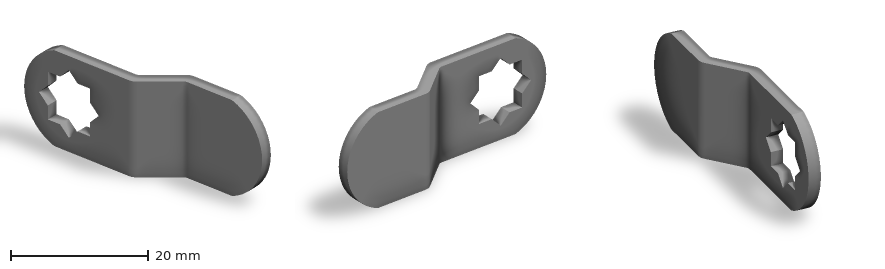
import cadquery as cq
import math

length = 40.95
width = 16.0
depth = 7.0
thickness = 2.0
end_radius = 8.47
hole_square = 8.0
bend_angle = 40.0
bend_start = 20.5
outer_bend_radius = 2.0
inner_bend_radius = 1.0

offset = depth - thickness
slope_run = offset / math.tan(math.radians(bend_angle))
bend_shift = thickness * math.tan(math.radians(bend_angle / 2))
bend_end = bend_start + slope_run
end_straight = end_radius - math.sqrt(end_radius**2 - (width / 2) ** 2)

lower_outer = (bend_start, 0)
upper_inner = (bend_end, offset)
lower_inner = (bend_start - bend_shift, thickness)
upper_outer = (bend_end - bend_shift, depth)


def round_bends(body, corners, radius):
    """Fillet the upright edges that stand at the given corners."""
    for x, y in corners:
        body = body.edges(cq.selectors.NearestToPointSelector((x, y, 0))).fillet(radius)
    return body


def bent_strip():
    """Rectangular strip with two opposite bends, centred on Z = 0."""
    strip = (
        cq.Workplane("XY")
        .moveTo(0, 0)
        .lineTo(*lower_outer)
        .lineTo(*upper_inner)
        .lineTo(length, offset)
        .lineTo(length, depth)
        .lineTo(*upper_outer)
        .lineTo(*lower_inner)
        .lineTo(0, thickness)
        .close()
        .extrude(width / 2, both=True)
    )
    strip = round_bends(strip, [lower_outer, upper_outer], outer_bend_radius)
    return round_bends(strip, [lower_inner, upper_inner], inner_bend_radius)


def rounded_outline():
    """Block through the full depth with straight long sides and arc ends."""
    half = width / 2
    return (
        cq.Workplane("XZ")
        .moveTo(end_straight, half)
        .lineTo(length - end_straight, half)
        .threePointArc((length, 0), (length - end_straight, -half))
        .lineTo(end_straight, -half)
        .threePointArc((0, 0), (end_straight, half))
        .close()
        .extrude(-depth)
    )


def star_hole():
    """Eight-pointed star: two squares turned 45 degrees, on the end arc's centre."""
    square = cq.Workplane("XZ").rect(hole_square, hole_square).extrude(-thickness)
    diamond = square.rotate((0, 0, 0), (0, 1, 0), 45)
    return square.union(diamond).translate((end_radius, 0, 0))


result = bent_strip().intersect(rounded_outline()).cut(star_hole())